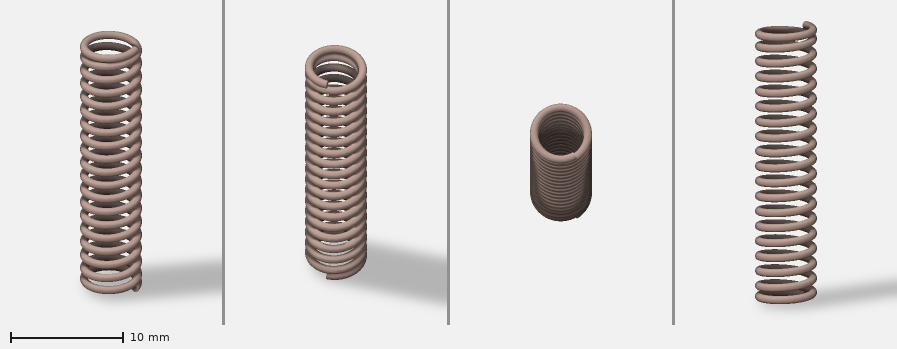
import cadquery as cq

outer_diameter = 5.54
free_length = 25.4
wire_diameter = 0.73
closed_coil_gap = 0.002
closed_turns = 1
active_turns = 17

coil_radius = (outer_diameter - wire_diameter) / 2
closed_pitch = wire_diameter + closed_coil_gap
closed_height = closed_turns * closed_pitch
active_height = free_length - wire_diameter - 2 * closed_height
active_pitch = active_height / active_turns

bottom_start = wire_diameter / 2
active_start = bottom_start + closed_height
top_start = active_start + active_height


def coil(pitch, height, start):
    """Sweep a wire section, round in the XZ plane, along a helix that starts on +X."""
    path = cq.Workplane(cq.Wire.makeHelix(pitch, height, coil_radius, cq.Vector(0, 0, start)))
    section = cq.Workplane("XZ").center(coil_radius, start).circle(wire_diameter / 2)
    return section.sweep(path, isFrenet=True)


bottom_coil = coil(closed_pitch, closed_height, bottom_start)
active_coils = coil(active_pitch, active_height, active_start)
top_coil = coil(closed_pitch, closed_height, top_start)

result = bottom_coil.union(active_coils).union(top_coil)